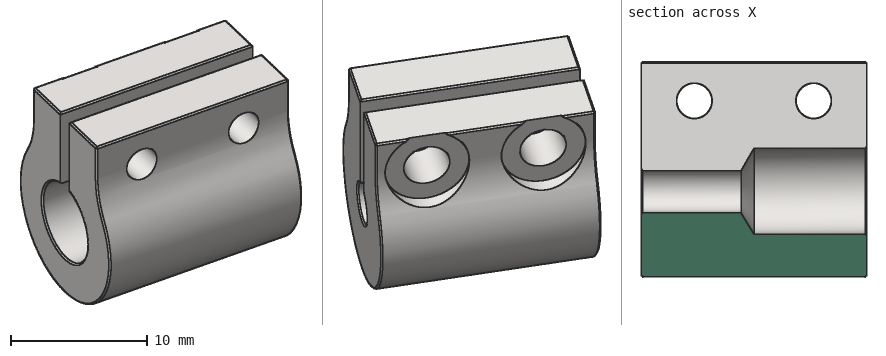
import cadquery as cq
import math

barrel_radius = 6.35
length = 16.57
overall_height = 15.82
top_z = overall_height - barrel_radius
jaw_half_width = 4.47
neck_radius = 6.35
edge_chamfer = 0.127

slot_width = 1.25

wide_bore_diameter = 6.35
narrow_bore_diameter = 3.175
wide_bore_radius = wide_bore_diameter / 2
narrow_bore_radius = narrow_bore_diameter / 2
wide_bore_depth = length / 2
drill_point_angle = math.radians(118)

screw_spacing = 8.76
screw_z = 6.6
counterbore_diameter = 6.35
counterbore_floor_x = -4.28
clearance_diameter = 3.47
tapped_diameter = 2.58

front_y = -length / 2
back_y = length / 2


def neck_points():
    """Ends and midpoint of the +X neck arc, from the barrel up to the jaw."""
    center_x = jaw_half_width + neck_radius
    center_distance = barrel_radius + neck_radius
    barrel_angle = math.acos(center_x / center_distance)
    center_z = center_distance * math.sin(barrel_angle)
    middle_angle = barrel_angle / 2
    start = (barrel_radius * math.cos(barrel_angle), barrel_radius * math.sin(barrel_angle))
    middle = (
        center_x - neck_radius * math.cos(middle_angle),
        center_z - neck_radius * math.sin(middle_angle),
    )
    end = (jaw_half_width, center_z)
    return start, middle, end


def mirrored(point):
    """Outline point reflected to the -X side."""
    return (-point[0], point[1])


def clamp_body():
    """Round barrel blended into an upright block by concave necks, end edges chamfered."""
    start, middle, end = neck_points()
    body = (
        cq.Workplane("XZ", origin=(0, back_y, 0))
        .moveTo(*start)
        .threePointArc(middle, end)
        .lineTo(jaw_half_width, top_z)
        .lineTo(-jaw_half_width, top_z)
        .lineTo(*mirrored(end))
        .threePointArc(mirrored(middle), mirrored(start))
        .threePointArc((0, -barrel_radius), start)
        .close()
        .extrude(length)
    )
    return body.faces("<Y or >Y or >Z").edges().chamfer(edge_chamfer)


def slot_cutter():
    """Slot from the bore axis up, with its top edges chamfered."""
    half_width = slot_width / 2
    return (
        cq.Workplane("XZ", origin=(0, back_y, 0))
        .moveTo(-half_width, 0)
        .lineTo(half_width, 0)
        .lineTo(half_width, top_z - edge_chamfer)
        .lineTo(half_width + edge_chamfer, top_z)
        .lineTo(-half_width - edge_chamfer, top_z)
        .lineTo(-half_width, top_z - edge_chamfer)
        .close()
        .extrude(length)
    )


def bore_cutter():
    """Revolved stepped bore with a chamfered mouth at each end."""
    cone_length = (wide_bore_radius - narrow_bore_radius) / math.tan(drill_point_angle / 2)
    cone_start_y = front_y + wide_bore_depth
    return (
        cq.Workplane("XY")
        .moveTo(0, front_y)
        .lineTo(wide_bore_radius + edge_chamfer, front_y)
        .lineTo(wide_bore_radius, front_y + edge_chamfer)
        .lineTo(wide_bore_radius, cone_start_y)
        .lineTo(narrow_bore_radius, cone_start_y + cone_length)
        .lineTo(narrow_bore_radius, back_y - edge_chamfer)
        .lineTo(narrow_bore_radius + edge_chamfer, back_y)
        .lineTo(0, back_y)
        .close()
        .revolve(360, (0, 0, 0), (0, 1, 0))
    )


def x_cylinder(diameter, start_x, end_x, y):
    """Cylinder along X at screw height, between two X positions."""
    base = cq.Workplane("YZ", origin=(start_x, y, screw_z))
    return base.circle(diameter / 2).extrude(end_x - start_x)


def screw_cutter(y):
    """Counterbore and clearance hole in the -X jaw, tapped hole through the +X jaw."""
    counterbore = x_cylinder(counterbore_diameter, -barrel_radius, counterbore_floor_x, y)
    clearance_hole = x_cylinder(clearance_diameter, -barrel_radius, 0, y)
    tapped_hole = x_cylinder(tapped_diameter, 0, barrel_radius, y)
    return counterbore.union(clearance_hole).union(tapped_hole)


result = clamp_body().cut(slot_cutter()).cut(bore_cutter())
for screw_y in (-screw_spacing / 2, screw_spacing / 2):
    result = result.cut(screw_cutter(screw_y))